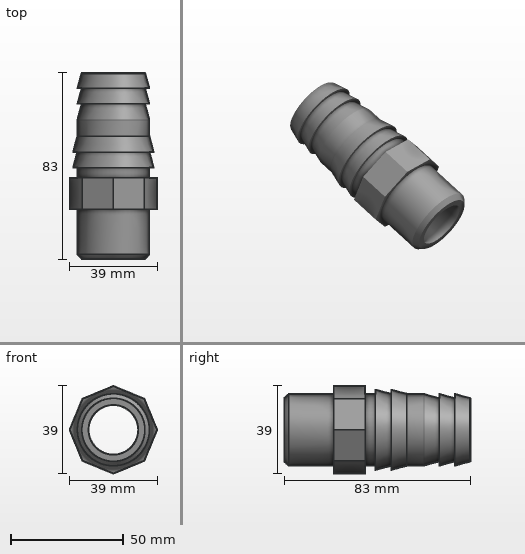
import cadquery as cq

total_length = 83.0
bore_diameter = 22.0
body_diameter = 32.0
body_radius = body_diameter / 2
octagon_corner_diameter = 39.0

collar_start = 22.1
collar_length = 14.0
large_barbs_start = 40.7
large_barb_pitch = 7.0
small_barbs_start = 62.1

spigot_chamfer_radial = 2.0
spigot_chamfer_axial = 2.15
large_barb_radius = 17.9
large_barb_root = 16.1
small_barb_root = 14.1
tip_chamfer_axial = 0.5
tip_chamfer_radial = 0.3
large_barb_count = 2
small_barb_count = 3

large_barbs_end = large_barbs_start + large_barb_count * large_barb_pitch


def revolve_profile(profile):
    """Turn a closed (radius, station) outline around the Y axis."""
    return cq.Workplane("XY").polyline(profile).close().revolve(360, (0, 0, 0), (0, 1, 0))


def barb(start, end, crest_radius, root_radius):
    """Cone that is widest at its start and narrows toward the hose tip."""
    profile = [(0, start), (crest_radius, start), (root_radius, end), (0, end)]
    return revolve_profile(profile)


def barb_row(start, end, count, crest_radius, root_radius):
    """Equal barbs filling the length from start to end."""
    pitch = (end - start) / count
    row = barb(start, start + pitch, crest_radius, root_radius)
    for index in range(1, count):
        barb_start = start + index * pitch
        row = row.union(barb(barb_start, barb_start + pitch, crest_radius, root_radius))
    return row


def plain_body():
    """Spigot and cylindrical core, with a chamfer on the spigot end."""
    profile = [
        (0, 0),
        (body_radius - spigot_chamfer_radial, 0),
        (body_radius, spigot_chamfer_axial),
        (body_radius, small_barbs_start),
        (0, small_barbs_start),
    ]
    return revolve_profile(profile)


def octagonal_collar():
    """Eight-sided wrench collar with corners on the X and Z axes."""
    return (
        cq.Workplane("XZ", origin=(0, collar_start, 0))
        .polygon(8, octagon_corner_diameter)
        .extrude(-collar_length)
    )


def tip_envelope():
    """Solid of revolution that bevels the narrow rim at the hose tip."""
    tip_taper = (body_radius - small_barb_root) * small_barb_count / (total_length - small_barbs_start)
    bevel_start = total_length - tip_chamfer_axial
    bevel_radius = small_barb_root + tip_taper * tip_chamfer_axial
    profile = [
        (0, small_barbs_start),
        (body_radius, small_barbs_start),
        (body_radius, bevel_start),
        (bevel_radius, bevel_start),
        (bevel_radius - tip_chamfer_radial, total_length),
        (0, total_length),
    ]
    return revolve_profile(profile)


large_barbs = barb_row(
    large_barbs_start, large_barbs_end, large_barb_count, large_barb_radius, large_barb_root
)
small_barbs = barb_row(
    small_barbs_start, total_length, small_barb_count, body_radius, small_barb_root
).intersect(tip_envelope())

bore = cq.Workplane("XZ").circle(bore_diameter / 2).extrude(-total_length)

result = plain_body().union(octagonal_collar()).union(large_barbs).union(small_barbs).cut(bore)